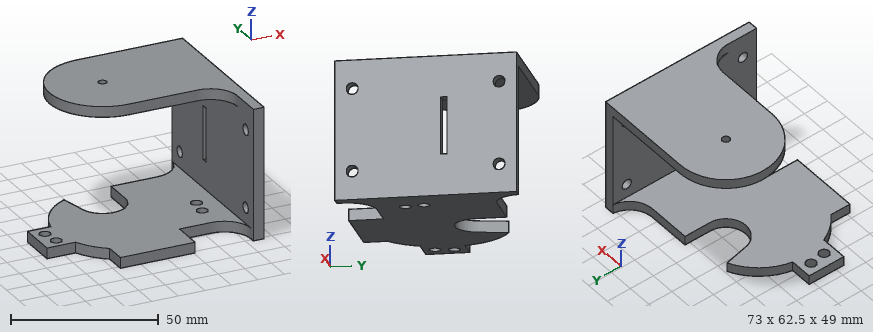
import cadquery as cq
import math

length = 73.0
width = 62.5
height = 49.0
thickness = 4.0
wall_x = length - thickness
corner_radius = 10.0

pivot_radius = 20.0
pivot_x = 33.0
pivot_y = width - pivot_radius
pivot_hole_diameter = 3.0

disc_radius = 24.6
disc_y = 28.3
back_edge_y = 53.35
front_edge_y = 12.0
foot_left = 18.8
foot_right = 47.0
tab_front = 17.9
tab_back = 33.0
cutout_radius = 8.55
lip_x = 22.1

plate_hole_diameter = 4.0
plate_hole_places = [(28.55, 28.55), (27.5, 22.05)]

wall_hole_diameter = 4.0
wall_hole_side_inset = 6.0
wall_hole_end_inset = 10.0
slot_y = 37.45
slot_width = 2.2
slot_height = 20.0


def disc_dx(y):
    """X distance from the disc centre to its rim at the given Y."""
    return math.sqrt(disc_radius**2 - (y - disc_y) ** 2)


def make_wall():
    wall = cq.Workplane("XY").box(thickness, width, height, centered=False).translate((wall_x, 0, 0))
    face = cq.Workplane("YZ", origin=(wall_x, width / 2, height / 2))
    holes = (
        face.rarray(width - 2 * wall_hole_side_inset, height - 2 * wall_hole_end_inset, 2, 2)
        .circle(wall_hole_diameter / 2)
        .extrude(thickness)
    )
    slot = face.center(slot_y - width / 2, 0).rect(slot_width, slot_height).extrude(thickness)
    return wall.cut(holes).cut(slot)


def make_top_plate():
    front_y = pivot_y - pivot_radius
    corner_x = wall_x - corner_radius
    corner_y = front_y - corner_radius
    diagonal = corner_radius * math.sqrt(0.5)
    plate = (
        cq.Workplane("XY", origin=(0, 0, height - thickness))
        .moveTo(wall_x, width)
        .lineTo(pivot_x, width)
        .threePointArc((pivot_x - pivot_radius, pivot_y), (pivot_x, front_y))
        .lineTo(corner_x, front_y)
        .threePointArc((corner_x + diagonal, corner_y + diagonal), (wall_x, corner_y))
        .close()
        .extrude(thickness)
    )
    hole = (
        cq.Workplane("XY", origin=(pivot_x, pivot_y, height - thickness))
        .circle(pivot_hole_diameter / 2)
        .extrude(thickness)
    )
    return plate.cut(hole)


def make_cutout():
    """Round cutout about the pivot, open to the back, with its left side tangent to the lip tip."""
    lip_y = disc_y + disc_dx(lip_x)
    lip_dx = lip_x - pivot_x
    lip_dy = lip_y - pivot_y
    lip_distance = math.hypot(lip_dx, lip_dy)
    tangent_angle = math.atan2(lip_dy, lip_dx) + math.acos(cutout_radius / lip_distance)
    tangent_x = pivot_x + cutout_radius * math.cos(tangent_angle)
    tangent_y = pivot_y + cutout_radius * math.sin(tangent_angle)
    run = (width - tangent_y) / (lip_y - tangent_y)
    open_x = tangent_x + run * (lip_x - tangent_x)
    return (
        cq.Workplane("XY")
        .moveTo(pivot_x + cutout_radius, width)
        .lineTo(pivot_x + cutout_radius, pivot_y)
        .threePointArc((pivot_x, pivot_y - cutout_radius), (tangent_x, tangent_y))
        .lineTo(open_x, width)
        .close()
        .extrude(thickness)
    )


def box_between(left, front, right, back):
    """Block of plate thickness resting on the base plane."""
    return (
        cq.Workplane("XY")
        .box(right - left, back - front, thickness, centered=False)
        .translate((left, front, 0))
    )


def make_bottom_plate():
    corner_x = wall_x - corner_radius
    disc = cq.Workplane("XY").center(pivot_x, disc_y).circle(disc_radius).extrude(thickness)
    disc = disc.intersect(box_between(0, 0, pivot_x, width))
    plate = (
        disc.union(box_between(pivot_x, front_edge_y, wall_x, back_edge_y))
        .union(box_between(foot_left, 0, foot_right, front_edge_y))
        .union(box_between(0, tab_front, pivot_x, tab_back))
        .union(box_between(corner_x, 0, wall_x, width))
    )
    for y in (front_edge_y - corner_radius, back_edge_y + corner_radius):
        plate = plate.cut(cq.Workplane("XY").center(corner_x, y).circle(corner_radius).extrude(thickness))
    plate = plate.cut(box_between(corner_x, 0, wall_x, front_edge_y - corner_radius))
    hole_points = [(pivot_x + side * dx, y) for side in (-1, 1) for dx, y in plate_hole_places]
    holes = cq.Workplane("XY").pushPoints(hole_points).circle(plate_hole_diameter / 2).extrude(thickness)
    return plate.cut(make_cutout()).cut(holes)


result = make_wall().union(make_top_plate()).union(make_bottom_plate())